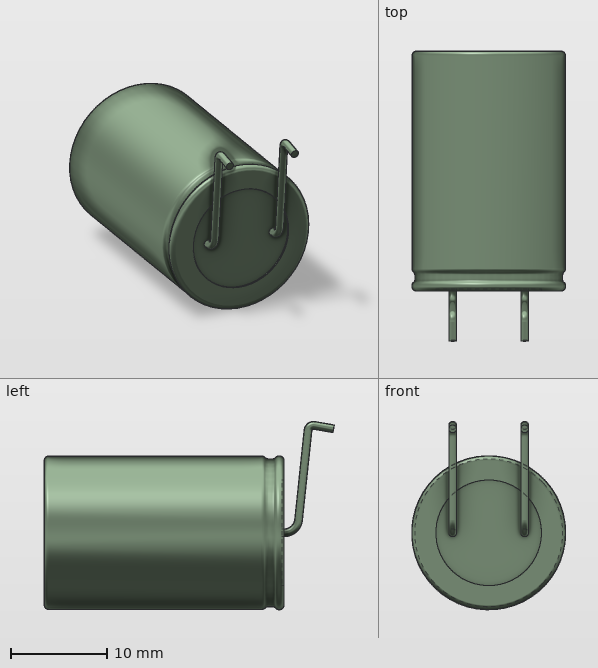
import cadquery as cq
import math

total_length = 30.22
total_height = 19.6

can_length = 25.0
can_radius = 16.0 / 2
rear_fillet = 0.48

bead_radius = 0.5
bead_outer_radius = 16.05 / 2

groove_radius = 7.7
groove_floor_front = 1.18
groove_floor_rear = 1.63
groove_rear = 2.35

recess_radius = 5.5
recess_depth = 0.2

lead_radius = 0.82 / 2
lead_spacing = 7.5
lead_top = total_height - bead_outer_radius
lead_reach = total_length - can_length
lead_embed = 0.6
lower_bend_radius = 1.5
upper_bend_radius = 0.6
lead_lean = math.radians(6)
tip_droop = math.radians(10)


def make_can():
    """Revolve the can's half outline, drawn as (radius, Y), about the Y axis."""
    bead_centre_radius = bead_outer_radius - bead_radius
    axial_gap = groove_floor_front - bead_radius
    floor_height = groove_radius - bead_centre_radius
    blend_radius = (axial_gap**2 + floor_height**2 - bead_radius**2) / (2 * (bead_radius - floor_height))
    share = bead_radius / (bead_radius + blend_radius)
    bead_end = (
        bead_centre_radius + share * (floor_height + blend_radius),
        bead_radius + share * axial_gap,
    )
    rear_middle = ((can_radius + groove_radius) / 2, (groove_floor_rear + groove_rear) / 2)

    return (
        cq.Workplane("XY")
        .lineTo(bead_centre_radius, 0)
        .tangentArcPoint(bead_end, relative=False)
        .tangentArcPoint((groove_radius, groove_floor_front), relative=False)
        .lineTo(groove_radius, groove_floor_rear)
        .tangentArcPoint(rear_middle, relative=False)
        .tangentArcPoint((can_radius, groove_rear), relative=False)
        .lineTo(can_radius, can_length - rear_fillet)
        .tangentArcPoint((can_radius - rear_fillet, can_length), relative=False)
        .lineTo(0, can_length)
        .close()
        .revolve(360, (0, 0, 0), (0, 1, 0))
    )


def make_recess():
    return cq.Workplane("XZ").circle(recess_radius).extrude(-recess_depth)


def make_lead(x):
    """Sweep a round wire out of the can, up with a slight lean, then forward and down."""
    lower_end = (
        -lower_bend_radius * math.cos(lead_lean),
        lower_bend_radius * (1 - math.sin(lead_lean)),
    )
    upper_centre_z = lead_top - lead_radius - upper_bend_radius
    upper_start_z = upper_centre_z + upper_bend_radius * math.sin(lead_lean)
    upper_start_y = lower_end[0] - (upper_start_z - lower_end[1]) * math.tan(lead_lean)
    upper_centre_y = upper_start_y - upper_bend_radius * math.cos(lead_lean)
    upper_end = (
        upper_centre_y - upper_bend_radius * math.sin(tip_droop),
        upper_centre_z + upper_bend_radius * math.cos(tip_droop),
    )
    tip_y = -lead_reach + lead_radius * math.sin(tip_droop)
    tip_z = upper_end[1] + (tip_y - upper_end[0]) * math.tan(tip_droop)

    path = (
        cq.Workplane("YZ", origin=(x, 0, 0))
        .moveTo(lead_embed, 0)
        .lineTo(0, 0)
        .tangentArcPoint(lower_end, relative=False)
        .lineTo(upper_start_y, upper_start_z)
        .tangentArcPoint(upper_end, relative=False)
        .lineTo(tip_y, tip_z)
    )
    return cq.Workplane("XZ", origin=(x, lead_embed, 0)).circle(lead_radius).sweep(path)


result = make_can().cut(make_recess())
for side in (-1, 1):
    result = result.union(make_lead(side * lead_spacing / 2))